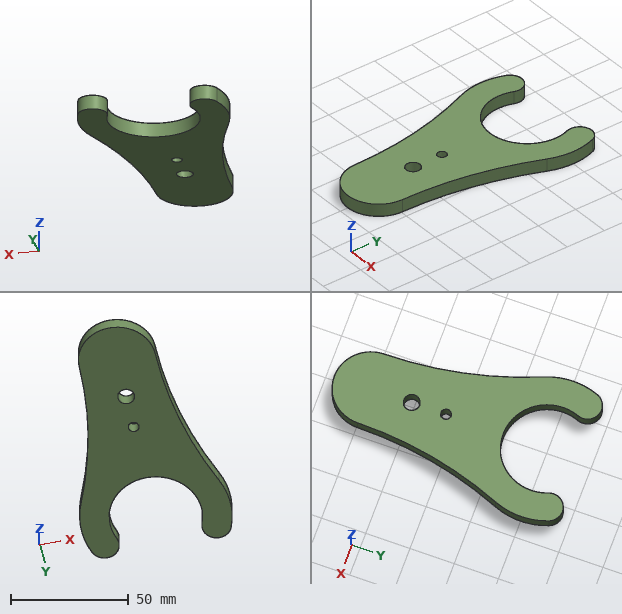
import cadquery as cq
import math

overall_width = 64.89
overall_length = 111.99
thickness = 6.35
opening_radius = 19.85
handle_radius = 16.5
tip_angle = math.radians(21.3)
small_hole_diameter = 4.5
large_hole_diameter = 7.11
small_hole_y = -45.7
large_hole_y = -61.2

prong_outer_radius = overall_width / 2
prong_middle_radius = (prong_outer_radius + opening_radius) / 2
tip_radius = (prong_outer_radius - opening_radius) / 2
top_y = prong_middle_radius * math.sin(tip_angle) + tip_radius

handle_y = top_y - overall_length + handle_radius

flank_radius = (handle_radius**2 + handle_y**2 - prong_outer_radius**2) / (
    2 * (prong_outer_radius - handle_radius)
)
flank_centre_x = handle_radius + flank_radius
flank_start_angle = math.atan2(handle_y, flank_centre_x)
flank_middle_angle = math.pi - math.atan2(-handle_y, flank_centre_x) / 2


def polar(radius, angle, centre_x=0, centre_y=0):
    """Point at the given radius and angle from a centre."""
    return (centre_x + radius * math.cos(angle), centre_y + radius * math.sin(angle))


def mirrored(point):
    """Same point on the other side of the plane of symmetry."""
    return (-point[0], point[1])


def fork_plate():
    """Plate outline, with the right half's points mirrored for the left half."""
    outer_tip = polar(prong_outer_radius, tip_angle)
    inner_tip = polar(opening_radius, tip_angle)
    tip_end = polar(tip_radius, tip_angle + math.pi / 2, *polar(prong_middle_radius, tip_angle))
    prong_side = (prong_outer_radius, 0)
    flank_top = polar(prong_outer_radius, flank_start_angle)
    flank_middle = polar(flank_radius, flank_middle_angle, flank_centre_x, handle_y)
    flank_bottom = (handle_radius, handle_y)

    return (
        cq.Workplane("XY")
        .moveTo(*inner_tip)
        .threePointArc(tip_end, outer_tip)
        .threePointArc(prong_side, flank_top)
        .threePointArc(flank_middle, flank_bottom)
        .threePointArc((0, handle_y - handle_radius), mirrored(flank_bottom))
        .threePointArc(mirrored(flank_middle), mirrored(flank_top))
        .threePointArc(mirrored(prong_side), mirrored(outer_tip))
        .threePointArc(mirrored(tip_end), mirrored(inner_tip))
        .threePointArc((0, -opening_radius), inner_tip)
        .close()
        .extrude(thickness)
    )


def through_hole(diameter, centre_y):
    """Cylinder that cuts a hole on the centreline through the plate."""
    return cq.Workplane("XY").center(0, centre_y).circle(diameter / 2).extrude(thickness)


result = (
    fork_plate()
    .cut(through_hole(small_hole_diameter, small_hole_y))
    .cut(through_hole(large_hole_diameter, large_hole_y))
)